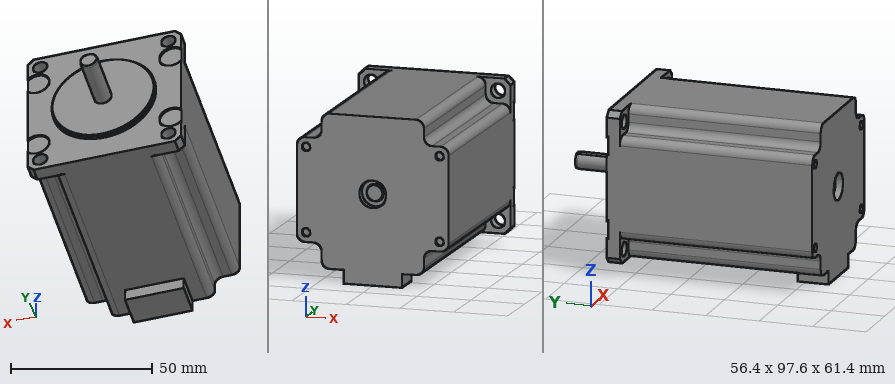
import cadquery as cq


body_width = 56.4
half_width = body_width / 2
total_length = 97.6
shaft_reach = 20.6
flange_thickness = 5.0
flange_chamfer = 2.2
flange_face_y = total_length - shaft_reach
flange_back_y = flange_face_y - flange_thickness

channel_wall = 19.0
channel_round = 3.0

mount_spacing = 47.1
mount_diameter = 5.2

boss_diameter = 38.2
boss_height = 1.7
boss_chamfer_length = 0.6
boss_chamfer_depth = 0.5

shaft_diameter = 6.3
shaft_radius = shaft_diameter / 2
shaft_chamfer_length = 1.0
shaft_chamfer_depth = 0.24
flat_length = 15.0
flat_height = 2.7

bore_diameter = 10.0
bore_depth = 3.0
shaft_end_recess = 2.05

screw_spacing_x = 49.6
screw_spacing_z = 31.0
screw_diameter = 3.0
screw_depth = 1.0
recess_diameter = 9.2
recess_depth = 0.6

connector_width = 21.6
connector_length = 11.5
connector_drop = 5.0


def section(y):
    """Workplane across the shaft at the given y: local x is X, local y is Z, extrusion runs to -Y."""
    return cq.Workplane("XZ", origin=(0, y, 0))


def make_body():
    flange = (
        section(flange_face_y)
        .rect(body_width, body_width)
        .extrude(flange_thickness)
        .edges("|Y")
        .chamfer(flange_chamfer)
    )
    wide = section(flange_back_y).rect(body_width, 2 * channel_wall).extrude(flange_back_y)
    tall = section(flange_back_y).rect(2 * channel_wall, body_width).extrude(flange_back_y)
    case = wide.union(tall).edges("|Y").fillet(channel_round)
    return flange.union(case)


def make_boss():
    return (
        section(flange_face_y + boss_height)
        .circle(boss_diameter / 2)
        .extrude(boss_height)
        .faces(">Y")
        .chamfer(boss_chamfer_length, boss_chamfer_depth)
    )


def make_connector():
    height = half_width + connector_drop
    return (
        section(connector_length)
        .center(0, -height / 2)
        .rect(connector_width, height)
        .extrude(connector_length)
    )


def make_shaft():
    end_radius = shaft_radius - shaft_chamfer_depth
    profile = [
        (0, shaft_end_recess),
        (end_radius, shaft_end_recess),
        (shaft_radius, shaft_end_recess + shaft_chamfer_length),
        (shaft_radius, total_length - shaft_chamfer_length),
        (end_radius, total_length),
        (0, total_length),
    ]
    shaft = cq.Workplane("XY").polyline(profile).close().revolve(360, (0, 0, 0), (0, 1, 0))
    above_flat = (
        section(total_length)
        .center(0, flat_height + shaft_radius / 2)
        .rect(shaft_diameter, shaft_radius)
        .extrude(flat_length)
    )
    return shaft.cut(above_flat)


def round_holes(front_y, depth, diameter, spacing_x, spacing_z):
    """Four cylinders on a rectangular pattern, running from front_y towards the rear."""
    return (
        section(front_y)
        .rect(spacing_x, spacing_z, forConstruction=True)
        .vertices()
        .circle(diameter / 2)
        .extrude(depth)
    )


mount_holes = round_holes(flange_face_y, flange_thickness, mount_diameter, mount_spacing, mount_spacing)
screw_holes = round_holes(screw_depth, screw_depth, screw_diameter, screw_spacing_x, screw_spacing_z)
head_recesses = round_holes(flange_face_y, recess_depth, recess_diameter, screw_spacing_x, screw_spacing_z)
rear_bore = section(bore_depth).circle(bore_diameter / 2).extrude(bore_depth)

result = make_body().union(make_boss()).union(make_connector())
for pocket in (mount_holes, screw_holes, head_recesses, rear_bore):
    result = result.cut(pocket)
result = result.union(make_shaft())